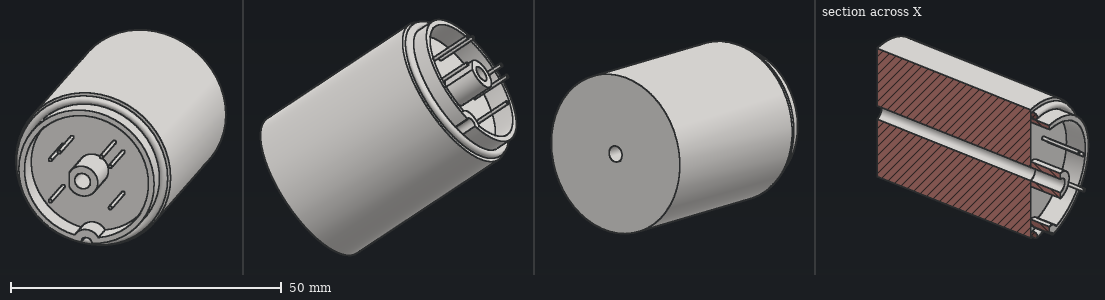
import cadquery as cq
import math

overall_length = 42.0
housing_length = 34.0
pin_length = overall_length - housing_length
collar_length = 4.15
hub_length = 6.55

housing_radius = 15.0
collar_radius = 13.1
collar_bore_radius = 12.0
hub_radius = 2.95
bore_radius = 1.5

hub_flat_offset = 2.6
seal_section_radius = 0.75
key_notch_radius = 1.05
key_wall_radius = 2.65

pin_radius = 0.35
pin_circle_radius = 7.1
pin_angle = 35.2
pin_angles = [
    pin_angle,
    90 - pin_angle,
    90 + pin_angle,
    180 - pin_angle,
    180 + pin_angle,
    360 - pin_angle,
]


def rod(radius, length, x=0.0, z=0.0):
    """Cylinder that runs from the housing front face toward -Y."""
    return cq.Workplane("XZ").center(x, z).circle(radius).extrude(length)


def make_housing():
    """Plain cylinder with an axial bore right through."""
    return (
        cq.Workplane("XZ")
        .circle(housing_radius)
        .circle(bore_radius)
        .extrude(-housing_length)
    )


def make_collar():
    """Thin ring with a keyway at the bottom, walled in on the inside."""
    ring = rod(collar_radius, collar_length).cut(rod(collar_bore_radius, collar_length))
    key_wall = rod(key_wall_radius, collar_length, z=-collar_radius).intersect(
        rod(collar_radius, collar_length)
    )
    key_notch = rod(key_notch_radius, collar_length, z=-collar_radius)
    return ring.union(key_wall).cut(key_notch)


def make_seal_ring():
    """Round-section ring seated on the collar and against the housing face."""
    ring_radius = collar_radius + seal_section_radius
    return (
        cq.Workplane("XY")
        .center(ring_radius, -seal_section_radius)
        .circle(seal_section_radius)
        .revolve(360, (-ring_radius, 0), (-ring_radius, 1))
    )


def make_hub():
    """Bored central boss with one flat on its -X side."""
    flat_cutter = (
        cq.Workplane("XZ")
        .center(-hub_flat_offset - hub_radius, 0)
        .rect(2 * hub_radius, 2 * hub_radius)
        .extrude(hub_length)
    )
    return rod(hub_radius, hub_length).cut(rod(bore_radius, hub_length)).cut(flat_cutter)


def make_pin(angle):
    """One contact pin standing on the housing face."""
    x = pin_circle_radius * math.cos(math.radians(angle))
    z = pin_circle_radius * math.sin(math.radians(angle))
    return rod(pin_radius, pin_length, x, z)


housing = make_housing()
collar = make_collar()
seal_ring = make_seal_ring()
hub = make_hub()
pins = [make_pin(angle).val() for angle in pin_angles]

result = cq.Compound.makeCompound(
    [housing.val(), collar.val(), seal_ring.val(), hub.val(), *pins]
)